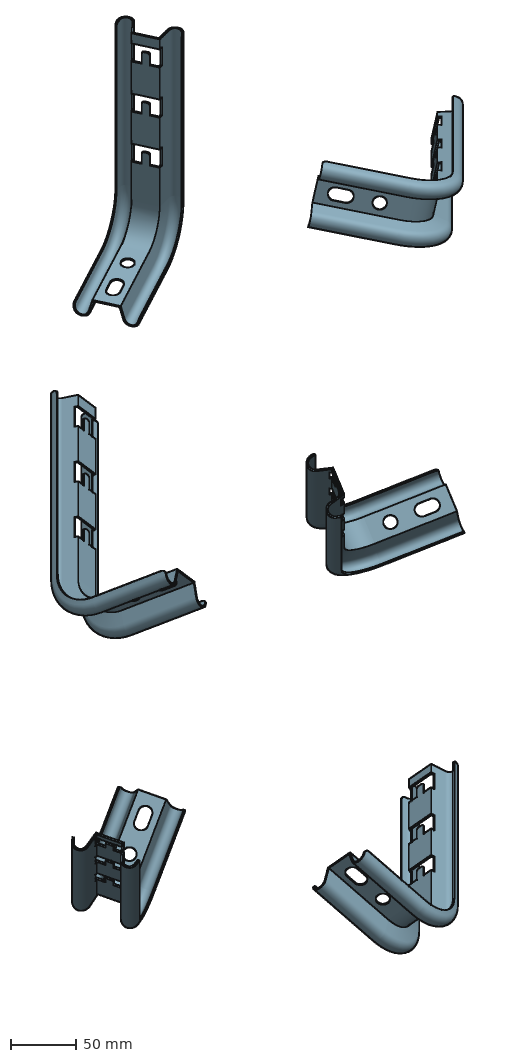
import cadquery as cq
import math

WIDTH = 55.0
REACH = 111.0
HEIGHT = 210.0

THICKNESS = 1.5
DEPTH = 18.0
GUTTER_RADIUS = 6.7
TILT = math.radians(15)
LIP_LENGTH = 4.5
LIP_CORNER_RADIUS = 3.5

INNER_BEND_RADIUS = 25.0
OUTER_BEND_RADIUS = INNER_BEND_RADIUS + DEPTH

HOLE_DIAMETER = 11.0
HOLE_FROM_END = 50.5
SLOT_LENGTH = 20.0
SLOT_FROM_END = 20.0

WINDOW_COUNT = 3
WINDOW_PITCH = 50.0
WINDOW_FROM_TOP = 10.0
WINDOW_HEIGHT = 18.0
WINDOW_DEPTH = 3.1
TONGUE_WIDTH = 6.5
TONGUE_HEIGHT = 12.0
TONGUE_CORNER_RADIUS = 2.0

GUTTER_X = WIDTH / 2 - GUTTER_RADIUS * math.cos(TILT) - LIP_LENGTH * math.sin(TILT)


def surface_points(radius, base_level):
    """Points of one sheet face on the +X half, as (x, level above the gutter bottom)."""
    base_x = GUTTER_X - radius / math.cos(TILT) - (base_level - GUTTER_RADIUS) * math.tan(TILT)
    tangent_offset = radius * math.cos(TILT)
    tangent_level = GUTTER_RADIUS - radius * math.sin(TILT)
    lip_x = GUTTER_X + tangent_offset + LIP_LENGTH * math.sin(TILT)
    lip_level = tangent_level + LIP_LENGTH * math.cos(TILT)
    return [
        (base_x, base_level),
        (GUTTER_X - tangent_offset, tangent_level),
        (GUTTER_X, GUTTER_RADIUS - radius),
        (GUTTER_X + tangent_offset, tangent_level),
        (lip_x, lip_level),
    ]


def section():
    """Closed sheet section at the top; levels above the gutter bottom run toward -Y."""
    upper = surface_points(GUTTER_RADIUS - THICKNESS, DEPTH)
    lower = surface_points(GUTTER_RADIUS, DEPTH - THICKNESS)

    def place(points, side):
        return [(side * x, -level) for x, level in points]

    def inward(wire, points):
        base, web_end, bottom, lip_start, lip_end = points
        return wire.lineTo(*lip_end).lineTo(*lip_start).threePointArc(bottom, web_end).lineTo(*base)

    def outward(wire, points):
        base, web_end, bottom, lip_start, lip_end = points
        return wire.lineTo(*base).lineTo(*web_end).threePointArc(bottom, lip_start).lineTo(*lip_end)

    wire = cq.Workplane("XY", origin=(0, 0, HEIGHT)).moveTo(0, -DEPTH)
    wire = outward(wire, place(upper, 1))
    wire = inward(wire, place(lower, 1))
    wire = outward(wire, place(lower, -1))
    wire = inward(wire, place(upper, -1))
    return wire.close()


def bent_channel():
    """Section carried down the vertical leg, round the bend and along the horizontal leg."""
    diagonal = OUTER_BEND_RADIUS * (1 - math.sqrt(0.5))
    path = (
        cq.Workplane("YZ")
        .moveTo(0, HEIGHT)
        .lineTo(0, OUTER_BEND_RADIUS)
        .threePointArc((-diagonal, diagonal), (-OUTER_BEND_RADIUS, 0))
        .lineTo(-REACH, 0)
    )
    return section().sweep(path)


def round_lip_corners(body):
    """Round the four free corners of the lips, two at each end of the bracket."""
    lip_level = surface_points(GUTTER_RADIUS, DEPTH)[-1][1]
    edge_level = lip_level + THICKNESS * math.sin(TILT) / 2
    edge_x = WIDTH / 2 - THICKNESS * math.cos(TILT) / 2
    for side in (-1, 1):
        for y, z in ((-edge_level, HEIGHT), (-REACH, edge_level)):
            corner = cq.selectors.NearestToPointSelector((side * edge_x, y, z))
            body = body.edges(corner).fillet(LIP_CORNER_RADIUS)
    return body


def leg_holes():
    """Round hole and lengthwise slot through the base of the horizontal leg."""
    hole = cq.Workplane("XY").center(0, HOLE_FROM_END - REACH).circle(HOLE_DIAMETER / 2).extrude(DEPTH)
    slot = (
        cq.Workplane("XY")
        .center(0, SLOT_FROM_END - REACH)
        .slot2D(SLOT_LENGTH, HOLE_DIAMETER, 90)
        .extrude(DEPTH)
    )
    return hole.union(slot)


def hook_window(top):
    """Cutter for one window, leaving a tongue that stands on its lower edge."""
    bottom = top - WINDOW_HEIGHT
    opening = cq.Workplane("XY").box(WIDTH, WINDOW_DEPTH, WINDOW_HEIGHT, centered=(True, False, False))
    tongue = (
        cq.Workplane("XY")
        .box(TONGUE_WIDTH, WINDOW_DEPTH, TONGUE_HEIGHT, centered=(True, False, False))
        .edges("|Y and >Z")
        .fillet(TONGUE_CORNER_RADIUS)
    )
    return opening.cut(tongue).translate((0, -DEPTH, bottom))


result = round_lip_corners(bent_channel()).cut(leg_holes())
for index in range(WINDOW_COUNT):
    result = result.cut(hook_window(HEIGHT - WINDOW_FROM_TOP - index * WINDOW_PITCH))